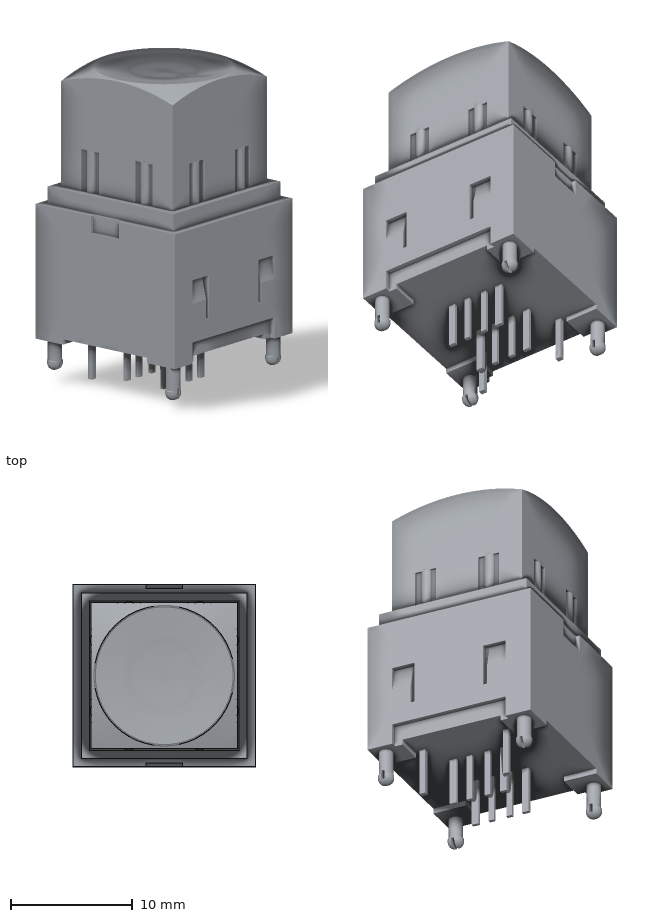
import cadquery as cq

total_height = 26.6
foot_top = 3.65
underside_z = 4.1
panel_bottom = 5.45
notch_bottom = 13.65
housing_top = 15.1
collar_top = 16.57
skirt_top = 20.1

housing_side = 15.0
collar_side = 13.57
opening_side = 12.3
button_side = 12.0

corner_block_inset = 2.98
panel_width = 10.43
panel_depth = 0.5
notch_width = 2.98
notch_depth = 0.35

window_bottom = 7.1
window_top = 10.75
window_width = 2.07
wedge_gap = 0.37
wedge_knee_z = 8.75
wedge_top = 10.67
wedge_setback = 0.45

dome_radius = 19.15
dome_land_radius = 5.77
dish_rim_radius = 5.67
dish_depth = 0.4

rib_offset = 2.9
rib_radius = 0.5
rib_tip = 6.12
rib_recess_width = 1.92
rib_recess_depth = 0.2

foot_diameter = 1.2
foot_offset = 6.35
foot_spread = 0.08
low_foot_tip = 0.6
high_foot_tip = 0.98
foot_band_height = 0.2
slit_width = 0.3
slit_bottom = 0.95
slit_top = 1.7

contact_x = 2.0
contact_thickness = 0.32
inner_contact_y = 0.82
inner_contact_width = 0.5
outer_contact_y = 2.31
outer_contact_width = 0.6
lamp_pin_x = -4.52
lamp_pin_y = 3.83
lamp_pin_thickness = 0.43
lamp_pin_width = 0.5

housing_half = housing_side / 2
button_half = button_side / 2
foot_radius = foot_diameter / 2


def block(size_x, size_y, bottom, top, x=0.0, y=0.0):
    """Upright box centred on (x, y) between two heights."""
    return (
        cq.Workplane("XY")
        .box(size_x, size_y, top - bottom, centered=(True, True, False))
        .translate((x, y, bottom))
    )


def cylinder(radius, bottom, top, x, y):
    """Upright cylinder between two heights."""
    return (
        cq.Workplane("XY")
        .circle(radius)
        .extrude(top - bottom)
        .translate((x, y, bottom))
    )


def make_wedge(side_y):
    """Latch wedge at the -X wall: upright below the knee, sloping inward above it."""
    outer_x = -housing_half
    inner_x = outer_x + panel_depth
    profile = [
        (outer_x, window_bottom),
        (outer_x, wedge_knee_z),
        (outer_x + wedge_setback, wedge_top),
        (inner_x, wedge_top),
        (inner_x, window_bottom),
    ]
    width = window_width - wedge_gap
    center_y = side_y * (panel_width - width) / 2
    return (
        cq.Workplane("XZ")
        .polyline(profile)
        .close()
        .extrude(width / 2, both=True)
        .translate((0, center_y, 0))
    )


def make_housing():
    body = block(housing_side, housing_side, foot_top, housing_top)

    clearance = housing_side - 2 * corner_block_inset
    body = body.cut(block(clearance, housing_side, foot_top, underside_z))
    body = body.cut(block(housing_side, clearance, foot_top, underside_z))

    for side in (-1, 1):
        notch_y = side * (housing_half - notch_depth / 2)
        body = body.cut(block(notch_width, notch_depth, notch_bottom, housing_top, y=notch_y))

        wall_x = side * (housing_half - panel_depth / 2)
        body = body.cut(block(panel_depth, panel_width, foot_top, panel_bottom, x=wall_x))
        for side_y in (-1, 1):
            window_y = side_y * (panel_width - window_width) / 2
            window = block(panel_depth, window_width, window_bottom, window_top, wall_x, window_y)
            body = body.cut(window)

    for side_y in (-1, 1):
        wedge = make_wedge(side_y)
        body = body.union(wedge).union(wedge.mirror("YZ"))

    collar = block(collar_side, collar_side, housing_top, collar_top)
    opening = block(opening_side, opening_side, housing_top, collar_top)
    return body.union(collar.cut(opening))


def make_button():
    button = block(button_side, button_side, housing_top, total_height)

    dome_center_z = total_height - (dome_radius**2 - dome_land_radius**2) ** 0.5
    button = button.intersect(cq.Workplane("XY").sphere(dome_radius).translate((0, 0, dome_center_z)))
    dish_radius = (dish_rim_radius**2 + dish_depth**2) / (2 * dish_depth)
    dish_center_z = total_height - dish_depth + dish_radius
    button = button.cut(cq.Workplane("XY").sphere(dish_radius).translate((0, 0, dish_center_z)))

    for turn in (0, 90, 180, 270):
        for x in (-rib_offset, rib_offset):
            recess_y = -button_half + rib_recess_depth / 2
            recess = block(rib_recess_width, rib_recess_depth, housing_top, skirt_top, x, recess_y)
            rib = cylinder(rib_radius, housing_top, skirt_top, x, rib_radius - rib_tip)
            button = button.cut(recess.rotate((0, 0, 0), (0, 0, 1), turn))
            button = button.union(rib.rotate((0, 0, 0), (0, 0, 1), turn))
    return button


def make_foot(x, y, tip_z):
    """Round peg whose slit, round-nosed end is spread along Y."""
    nose_z = tip_z + foot_radius
    foot = cylinder(foot_radius, nose_z, foot_top, x, y)
    for side in (-1, 1):
        half_y = y + side * foot_spread
        foot = foot.union(cylinder(foot_radius, nose_z, nose_z + foot_band_height, x, half_y))
        foot = foot.union(cq.Workplane("XY").sphere(foot_radius).translate((x, half_y, nose_z)))
    return foot.cut(block(foot_diameter, slit_width, slit_bottom, slit_top, x, y))


def make_terminals():
    """List of the flat pins: four contacts per column and two lamp pins."""
    contact_rows = [
        (inner_contact_y, inner_contact_width),
        (outer_contact_y, outer_contact_width),
    ]
    pins = []
    for side_y in (-1, 1):
        for x in (-contact_x, contact_x):
            for row_y, width in contact_rows:
                pins.append(block(contact_thickness, width, 0, underside_z, x, side_y * row_y))
        lamp_y = side_y * lamp_pin_y
        pins.append(block(lamp_pin_thickness, lamp_pin_width, 0, underside_z, lamp_pin_x, lamp_y))
    return pins


result = make_housing().union(make_button())

for side_x in (-1, 1):
    for side_y in (-1, 1):
        tip_z = high_foot_tip if side_x == side_y else low_foot_tip
        result = result.union(make_foot(side_x * foot_offset, side_y * foot_offset, tip_z))

for pin in make_terminals():
    result = result.union(pin)